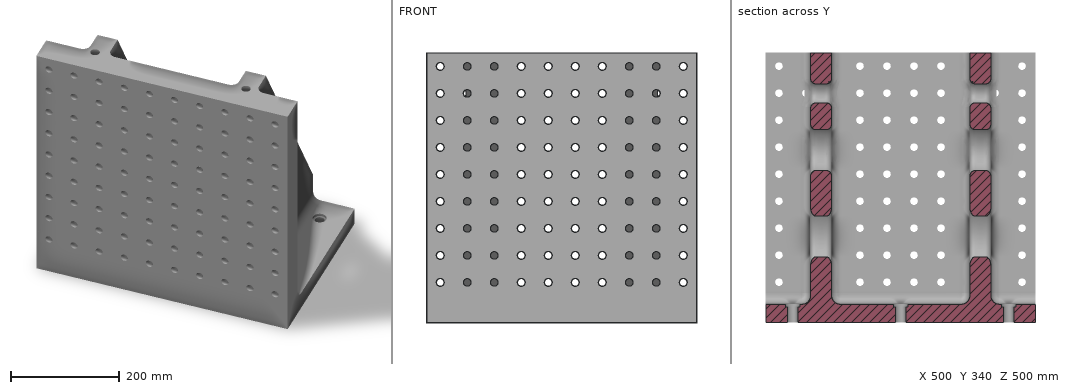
import cadquery as cq
import math

width = 500.0
depth = 340.0
height = 500.0

plate_thickness = 50.0
base_thickness = 35.0
corner_fillet = 20.0

rib_thickness = 40.0
rib_center_x = 147.5
rib_top_depth = 100.0
rib_rear_height = 90.0
rib_fillet = 15.0

lightening_holes = [(80.0, 425.0, 40.0), (115.0, 320.0, 90.0), (155.0, 160.0, 150.0)]
lightening_edge_round = 10.0

grid_diameter = 14.0
grid_pitch = 50.0
grid_columns = 10
grid_rows = 9
grid_top_margin = 25.0

mount_diameter = 18.0
counterbore_diameter = 26.0
counterbore_depth = 5.0
mount_spacing = 200.0
mount_columns = 3
mount_rows = 2
mount_rear_margin = 50.0

lifting_diameter = 17.5
lifting_depth = 40.0
lifting_spacing = 300.0
lifting_offset_x = -2.5
drill_point_angle = 118.0


def make_angle():
    """L-shaped body of front plate and base."""
    return (
        cq.Workplane("YZ")
        .polyline(
            [
                (0, 0),
                (depth, 0),
                (depth, base_thickness),
                (plate_thickness, base_thickness),
                (plate_thickness, height),
                (0, height),
            ]
        )
        .close()
        .extrude(width / 2, both=True)
    )


def make_rib(center_x):
    """Sloped gusset with round-edged lightening holes, let into the plate and base."""
    rib = (
        cq.Workplane("YZ", origin=(center_x, 0, 0))
        .polyline(
            [
                (0, 0),
                (depth, 0),
                (depth, rib_rear_height),
                (rib_top_depth, height),
                (0, height),
            ]
        )
        .close()
        .extrude(rib_thickness / 2, both=True)
    )
    for y, z, diameter in lightening_holes:
        hole = (
            cq.Workplane("YZ", origin=(center_x, 0, 0))
            .center(y, z)
            .circle(diameter / 2)
            .extrude(rib_thickness, both=True)
        )
        rib = rib.cut(hole)
    return rib.edges("%CIRCLE").fillet(lightening_edge_round)


def edges_in_box(body, low, high):
    """Edges lying wholly inside the box, given a small tolerance."""
    slack = 0.05
    box_low = tuple(value - slack for value in low)
    box_high = tuple(value + slack for value in high)
    return body.edges(cq.selectors.BoxSelector(box_low, box_high, boundingbox=True))


def fillet_inner_corners(body):
    """Round the inside corners where plate, base and ribs meet."""
    plate_base_corner = edges_in_box(
        body,
        (-width / 2, plate_thickness, base_thickness),
        (width / 2, plate_thickness, base_thickness),
    )
    body = plate_base_corner.fillet(corner_fillet)

    for rib_side in (-1, 1):
        for face_side in (-1, 1):
            face_x = rib_side * rib_center_x + face_side * rib_thickness / 2
            rib_face = edges_in_box(
                body,
                (face_x, plate_thickness, base_thickness),
                (face_x, depth, height),
            )
            rib_foot = rib_face.edges("|Y").edges("<Z")
            plate_joint = rib_face.edges("|Z").edges("<Y")
            body = rib_foot.add(plate_joint).fillet(rib_fillet)
    return body


def drill_plate_grid(body):
    """Through holes over the front plate, aligned to its top edge."""
    grid_center_z = height - grid_top_margin - grid_pitch * (grid_rows - 1) / 2
    drills = (
        cq.Workplane("XZ", origin=(0, 0, grid_center_z))
        .rarray(grid_pitch, grid_pitch, grid_columns, grid_rows)
        .circle(grid_diameter / 2)
        .extrude(-plate_thickness)
    )
    return body.cut(drills)


def drill_base_mounts(body):
    """Counterbored through holes in the base."""
    center_y = depth - mount_rear_margin - mount_spacing * (mount_rows - 1) / 2
    return (
        body.copyWorkplane(cq.Workplane("XY", origin=(0, center_y, base_thickness)))
        .rarray(mount_spacing, mount_spacing, mount_columns, mount_rows)
        .cboreHole(mount_diameter, counterbore_diameter, counterbore_depth, depth=base_thickness)
    )


def drill_lifting_holes(body):
    """Blind holes with conical bottoms in the top face, one at the head of each rib."""
    radius = lifting_diameter / 2
    point_length = radius / math.tan(math.radians(drill_point_angle / 2))
    for side in (-1, 1):
        center_x = lifting_offset_x + side * lifting_spacing / 2
        drill = (
            cq.Workplane("XZ", origin=(center_x, plate_thickness, height))
            .polyline(
                [
                    (0, 0),
                    (radius, 0),
                    (radius, -lifting_depth),
                    (0, -lifting_depth - point_length),
                ]
            )
            .close()
            .revolve(360, (0, 0), (0, 1))
        )
        body = body.cut(drill)
    return body


angle_plate = make_angle()
for rib_side in (-1, 1):
    angle_plate = angle_plate.union(make_rib(rib_side * rib_center_x))
angle_plate = fillet_inner_corners(angle_plate)
angle_plate = drill_plate_grid(angle_plate)
angle_plate = drill_base_mounts(angle_plate)
result = drill_lifting_holes(angle_plate)